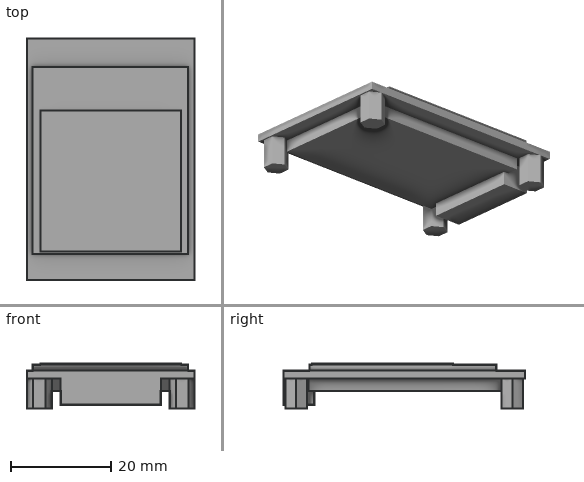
import cadquery as cq
import math

BOARD_WIDTH = 33.5
BOARD_LENGTH = 48.3
BOARD_THICKNESS = 1.6

PANEL_LEFT = -15.6
PANEL_RIGHT = 15.45
PANEL_FRONT = -18.95
PANEL_BACK = 18.4
PANEL_THICKNESS = 1.2
SCREEN_WIDTH = 28.1
SCREEN_FRONT = -18.45
SCREEN_BACK = 9.7
SCREEN_THICKNESS = 0.2

STANDOFF_FLATS = 4.35
STANDOFF_HEIGHT = 6.0
STANDOFF_EDGE_GAP = 0.4

CONNECTOR_WIDTH = 20.05
CONNECTOR_DEPTH = 6.2
CONNECTOR_HEIGHT = 5.2
MODULE_WIDTH = 25.1
MODULE_FRONT = -19.1
MODULE_BACK = 20.3
MODULE_HEIGHT = 2.45


def block(left, right, front, back, bottom, height):
    """Rectangular block given by its side positions, underside and height."""
    size = (right - left, back - front, height)
    return cq.Workplane("XY").box(*size, centered=False).translate((left, front, bottom))


def centered_block(width, front, back, bottom, height):
    """Rectangular block centered across the board width."""
    return block(-width / 2, width / 2, front, back, bottom, height)


def standoffs():
    """Four hexagonal standoffs hanging below the board corners."""
    corner_diameter = STANDOFF_FLATS / math.cos(math.pi / 6)
    spacing_x = BOARD_WIDTH - corner_diameter
    spacing_y = BOARD_LENGTH - 2 * STANDOFF_EDGE_GAP - STANDOFF_FLATS
    return (
        cq.Workplane("XY")
        .rarray(spacing_x, spacing_y, 2, 2)
        .polygon(6, corner_diameter)
        .extrude(-STANDOFF_HEIGHT)
    )


board_front = -BOARD_LENGTH / 2
panel_top = BOARD_THICKNESS + PANEL_THICKNESS

board = centered_block(BOARD_WIDTH, board_front, -board_front, 0, BOARD_THICKNESS)
panel = block(PANEL_LEFT, PANEL_RIGHT, PANEL_FRONT, PANEL_BACK, BOARD_THICKNESS, PANEL_THICKNESS)
screen = centered_block(SCREEN_WIDTH, SCREEN_FRONT, SCREEN_BACK, panel_top, SCREEN_THICKNESS)
connector = centered_block(
    CONNECTOR_WIDTH, board_front, board_front + CONNECTOR_DEPTH, -CONNECTOR_HEIGHT, CONNECTOR_HEIGHT
)
module = centered_block(MODULE_WIDTH, MODULE_FRONT, MODULE_BACK, -MODULE_HEIGHT, MODULE_HEIGHT)

result = board.union(panel).union(screen).union(connector).union(module).union(standoffs())